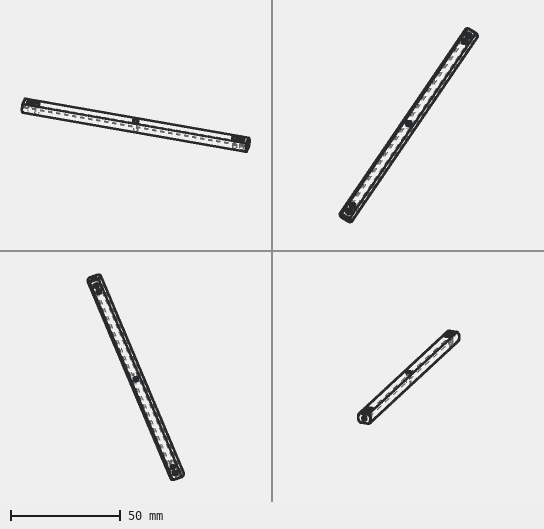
import cadquery as cq

length = 106.2
rod_diameter = 6.6
flat_thickness = 5.0
end_chamfer = 0.3

hole_diameter = 2.0
countersink_diameter = 2.7
countersink_angle = 90.0
outer_hole_offset = 50.0
hole_pitch = 3.2


def flatted_rod():
    """Round rod along X, centred on the origin, with flats on top and bottom."""
    rod = cq.Workplane("YZ").circle(rod_diameter / 2).extrude(length / 2, both=True)
    slab = cq.Workplane("XY").box(length, rod_diameter, flat_thickness)
    return rod.intersect(slab)


def drill_axial_bore(body):
    """Bore running the full length of the rod."""
    return body.faces("<X").workplane(origin=(0, 0, 0)).hole(hole_diameter, length)


def drill_cross_holes(body):
    """Through holes countersunk on the top flat: one in the middle, a pair at each end."""
    inner_hole_offset = outer_hole_offset - hole_pitch
    positions = [0.0]
    for side in (-1, 1):
        positions += [side * inner_hole_offset, side * outer_hole_offset]
    return (
        body.faces(">Z")
        .workplane(origin=(0, 0, 0))
        .pushPoints([(x, 0) for x in positions])
        .cskHole(hole_diameter, countersink_diameter, countersink_angle)
    )


rod = flatted_rod().faces("<X or >X").chamfer(end_chamfer)
rod = drill_axial_bore(rod)
result = drill_cross_holes(rod)